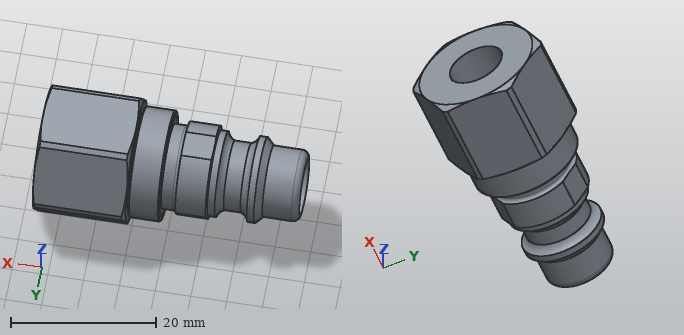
import cadquery as cq
import math

LENGTH = 36.5
BORE_RADIUS = 7.85 / 2

TIP_RADIUS = 10.0 / 2
TIP_FILLET = 1.02
NECK_RADIUS = 9.75 / 2
RIDGE_RADIUS = 12.0 / 2
BAND_RADIUS = 6.6
BAND_FLAT_DISTANCE = 6.3
FLAT_ANGLES = (90, 210, 330)
STEM_RADIUS = 11.9 / 2
STEM_FILLET = 0.5
FLANGE_RADIUS = 13.85 / 2

TIP_END = 5.0
RIDGE_START = 6.02
RIDGE_END = 7.0
NECK_START = 8.1
NECK_END = 10.45
SHOULDER_START = 11.5
SHOULDER_END = 12.52
BAND_START = 12.65
BAND_END = 16.9
ARC_SAG = 0.2

COLLAR_START = 18.98
COLLAR_END = 23.32
COLLAR_RADIUS = 15.5 / 2
COLLAR_CHAMFER = 0.2
SEAT_RADIUS = 14.0 / 2
SEAT_DEPTH = 2.92
RELIEF_RADIUS = 14.05 / 2
HEX_START = 23.5
HEX_ACROSS_FLATS = 17.0
HEX_CORNER_RADIUS = 19.15 / 2
HEX_CHAMFER_LENGTH = 0.4

SEAT_END = COLLAR_START + SEAT_DEPTH


def tube(start, end, radius):
    """Solid cylinder on the X axis."""
    return cq.Workplane("YZ", origin=(start, 0, 0)).circle(radius).extrude(end - start)


def hollow_point(start, end):
    """Middle of a shallow concave arc from start to end, bowed towards the axis."""
    run = end[0] - start[0]
    rise = end[1] - start[1]
    chord = math.hypot(run, rise)
    middle_x = (start[0] + end[0]) / 2 + ARC_SAG * rise / chord
    middle_r = (start[1] + end[1]) / 2 - ARC_SAG * run / chord
    return middle_x, middle_r


def revolve_about_x(profile):
    return profile.close().revolve(360, (0, 0, 0), (1, 0, 0))


def make_nipple():
    ridge_edge = (RIDGE_END, RIDGE_RADIUS)
    neck_front = (NECK_START, NECK_RADIUS)
    neck_back = (NECK_END, NECK_RADIUS)
    shoulder_edge = (SHOULDER_START, RIDGE_RADIUS)
    fillet_corner = TIP_FILLET * (1 - math.sqrt(0.5))
    stem_corner = STEM_FILLET * (1 - math.sqrt(0.5))
    profile = (
        cq.Workplane("XY")
        .moveTo(0, BORE_RADIUS)
        .lineTo(0, TIP_RADIUS - TIP_FILLET)
        .threePointArc((fillet_corner, TIP_RADIUS - fillet_corner), (TIP_FILLET, TIP_RADIUS))
        .lineTo(TIP_END, TIP_RADIUS)
        .lineTo(RIDGE_START, RIDGE_RADIUS)
        .lineTo(*ridge_edge)
        .threePointArc(hollow_point(ridge_edge, neck_front), neck_front)
        .lineTo(*neck_back)
        .threePointArc(hollow_point(neck_back, shoulder_edge), shoulder_edge)
        .lineTo(SHOULDER_END, RIDGE_RADIUS)
        .lineTo(BAND_START, BAND_RADIUS)
        .lineTo(BAND_END, BAND_RADIUS)
        .lineTo(BAND_END, STEM_RADIUS + STEM_FILLET)
        .threePointArc(
            (BAND_END + stem_corner, STEM_RADIUS + stem_corner),
            (BAND_END + STEM_FILLET, STEM_RADIUS),
        )
        .lineTo(COLLAR_START, STEM_RADIUS)
        .lineTo(COLLAR_START, FLANGE_RADIUS)
        .lineTo(SEAT_END, FLANGE_RADIUS)
        .lineTo(SEAT_END, BORE_RADIUS)
    )
    nipple = revolve_about_x(profile)
    for angle in FLAT_ANGLES:
        nipple = nipple.cut(make_flat_cutter(angle))
    return nipple


def make_flat_cutter(angle):
    """Block that removes everything outside one flat of the band."""
    return (
        cq.Workplane("XY")
        .box(
            BAND_END + STEM_FILLET - SHOULDER_END,
            BAND_RADIUS,
            2 * BAND_RADIUS,
            centered=(False, False, True),
        )
        .translate((SHOULDER_END, BAND_FLAT_DISTANCE, 0))
        .rotate((0, 0, 0), (1, 0, 0), angle)
    )


def make_hexagon():
    """Hexagon with flats facing +Z and -Z, its corners rounded and its ends chamfered."""
    hexagon = (
        cq.Workplane("YZ", origin=(HEX_START, 0, 0))
        .polygon(6, HEX_ACROSS_FLATS / math.cos(math.radians(30)))
        .extrude(LENGTH - HEX_START)
    )
    flat_radius = HEX_ACROSS_FLATS / 2
    envelope = revolve_about_x(
        cq.Workplane("XY")
        .moveTo(HEX_START, 0)
        .lineTo(HEX_START, flat_radius)
        .lineTo(HEX_START + HEX_CHAMFER_LENGTH, HEX_CORNER_RADIUS)
        .lineTo(LENGTH - HEX_CHAMFER_LENGTH, HEX_CORNER_RADIUS)
        .lineTo(LENGTH, flat_radius)
        .lineTo(LENGTH, 0)
    )
    return hexagon.intersect(envelope)


def make_housing():
    collar = tube(COLLAR_START, COLLAR_END, COLLAR_RADIUS).edges().chamfer(COLLAR_CHAMFER)
    relief = tube(COLLAR_END, HEX_START, RELIEF_RADIUS)
    seat = tube(COLLAR_START, SEAT_END, SEAT_RADIUS)
    bore = tube(COLLAR_START, LENGTH, BORE_RADIUS)
    return collar.union(relief).union(make_hexagon()).cut(seat).cut(bore)


nipple = make_nipple()
housing = make_housing()

result = cq.Compound.makeCompound([nipple.val(), housing.val()])